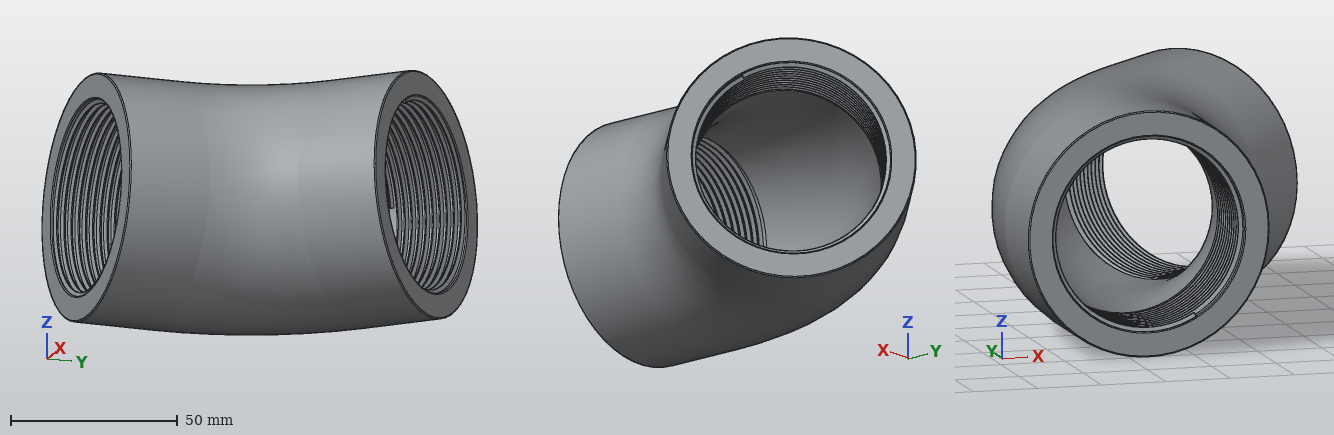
import cadquery as cq
import math

outer_diameter = 75.0
socket_diameter = 59.6
passage_diameter = 57.2
socket_length = 25.5
bend_radius = 72.0
bend_angle = 45.0
edge_chamfer = 0.4

thread_pitch = 2.3
thread_turns = 10.3
thread_root_width = 1.6
thread_crest_width = 0.4
thread_start_angle = 60.0

outer_radius = outer_diameter / 2
socket_radius = socket_diameter / 2
passage_radius = passage_diameter / 2
thread_rise = thread_pitch * thread_turns
first_ridge_depth = (socket_length - thread_rise) / 2
mouth_radius = socket_radius + edge_chamfer

bend_rad = math.radians(bend_angle)
bend_end_x = bend_radius * (1 - math.cos(bend_rad))
bend_end_y = socket_length + bend_radius * math.sin(bend_rad)
far_mouth_x = bend_end_x + socket_length * math.sin(bend_rad)
far_mouth_y = bend_end_y + socket_length * math.cos(bend_rad)
mouth_planes = [
    cq.Plane(origin=(0, 0, 0), xDir=(1, 0, 0), normal=(0, 1, 0)),
    cq.Plane(
        origin=(far_mouth_x, far_mouth_y, 0),
        xDir=(math.cos(bend_rad), -math.sin(bend_rad), 0),
        normal=(-math.sin(bend_rad), -math.cos(bend_rad), 0),
    ),
]


def make_collar():
    """Straight end of the elbow: a chamfered ring around a threaded socket."""
    profile = [
        (mouth_radius, 0),
        (outer_radius - edge_chamfer, 0),
        (outer_radius, edge_chamfer),
        (outer_radius, socket_length),
        (socket_radius, socket_length),
        (socket_radius, edge_chamfer),
    ]
    return cq.Workplane("XZ").polyline(profile).close().revolve(360, (0, 0), (0, 1)).val()


def make_bend():
    """Curved tube between the two collars."""
    return (
        cq.Workplane("XZ", origin=(0, socket_length, 0))
        .circle(outer_radius)
        .circle(passage_radius)
        .revolve(bend_angle, (bend_radius, 1.2), (bend_radius, 0))
    )


def make_elbow():
    elbow = make_bend()
    for plane in mouth_planes:
        elbow = elbow.union(cq.Workplane(make_collar().moved(cq.Location(plane))))
    return elbow


def make_thread():
    """Helical ridge seated on the socket wall, pointing inward."""
    profile = [
        (socket_radius, -thread_root_width / 2),
        (socket_radius, thread_root_width / 2),
        (passage_radius, thread_crest_width / 2),
        (passage_radius, -thread_crest_width / 2),
    ]
    helix = cq.Wire.makeHelix(thread_pitch, thread_rise, socket_radius)
    ridge = cq.Workplane("XZ").polyline(profile).close().sweep(cq.Workplane(helix), isFrenet=True)
    turned = ridge.val().rotate((0, 0, 0), (0, 0, 1), thread_start_angle)
    return turned.translate((0, 0, first_ridge_depth))


elbow = make_elbow()
threads = [make_thread().moved(cq.Location(plane)) for plane in mouth_planes]

result = cq.Compound.makeCompound([elbow.val(), *threads])